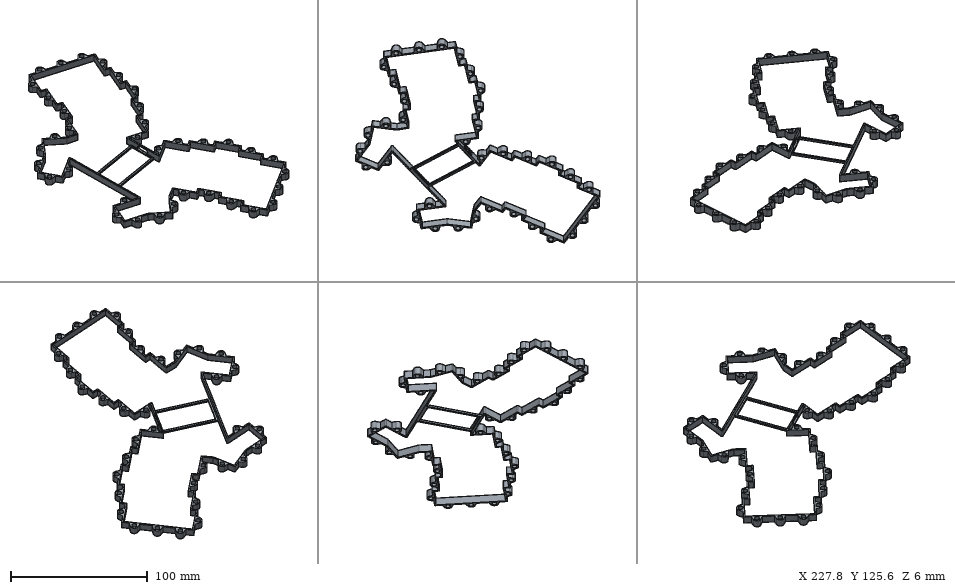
import cadquery as cq
import math


height = 6.0
wall = 1.2

tilt = 25
column_pitch = 18.0
column_stagger = 4.3
stagger_steps = [0, 1, 2, 1, 0]
hand_height = 51.0
keys_per_column = 3
row_pitch = hand_height / keys_per_column
hand_corner = (-90.5, 61.5)

thumb_corner = (-40.8, -60.6)
thumb_width = 17.0
inner_thumb_length = 18.5
outer_thumb_length = 17.0
outer_thumb_tilt = 45

upper_bar_y = 8.5
lower_bar_y = -34.2

boss_diameter = 6.0
boss_hole_diameter = 3.5
boss_standoff = 1.5
boss_offset = wall + boss_standoff
gusset_flare = 25

bridge_width = 21.9
bridge_side_rail = 1.5
bridge_upper_rail = 0.7
bridge_lower_rail = 1.4
bridge_height = 1.5
window_width = 9.5
window_bottom = 1.0
window_height = 4.0


def step(point, angle, distance):
    """Point reached from another by going a distance at an angle in degrees."""
    turn = math.radians(angle)
    return (point[0] + distance * math.cos(turn), point[1] + distance * math.sin(turn))


def step_to_y(point, angle, y):
    """Point where a ray from another point reaches a given Y."""
    return step(point, angle, (y - point[1]) / math.sin(math.radians(angle)))


along = -tilt
back = 180 - tilt
up = 90 - tilt
down = -90 - tilt


def column_corner(column, side):
    """Top corner of a finger column; side is 0 for its left end, 1 for its right end."""
    base = step(hand_corner, along, (column + side) * column_pitch)
    return step(base, up, stagger_steps[column] * column_stagger)


columns = range(len(stagger_steps))
tops = [(column_corner(column, 0), column_corner(column, 1)) for column in columns]
bottoms = [tuple(step(corner, down, hand_height) for corner in pair) for pair in tops[:-1]]
upper_bar_end = step_to_y(tops[-1][1], down, upper_bar_y)

thumb_tip = step(thumb_corner, tilt, thumb_width)
lower_bar_end = step_to_y(thumb_tip, 90 + tilt, lower_bar_y)
thumb_bend = step(thumb_corner, 90 + tilt, inner_thumb_length)
thumb_elbow = step(thumb_bend, 90 + outer_thumb_tilt, outer_thumb_length)
thumb_root = step(thumb_elbow, outer_thumb_tilt, thumb_width)

left_outline = [lower_bar_end, thumb_tip, thumb_corner, thumb_bend, thumb_elbow, thumb_root]
for left, right in reversed(bottoms):
    left_outline += [right, left]
for left, right in tops:
    left_outline += [left, right]
left_outline.append(upper_bar_end)
right_outline = [(-x, y) for x, y in reversed(left_outline)]


def wall_block(side):
    """Block bounded by the outer (side 1) or inner (side -1) wall face, with rounded corners."""
    outline = cq.Workplane("XY").polyline(left_outline + right_outline).close()
    centerline = outline.offset2D(wall / 2, "intersection")
    return centerline.offset2D(side * wall / 2, "arc").extrude(height)


half_column = column_pitch / 2
half_row = row_pitch / 2
half_thumb = thumb_width / 2
boss_places = [(step(left, along, half_column), up) for left, right in tops]
boss_places += [(step(left, along, half_column), down) for left, right in bottoms]
for row in range(keys_per_column):
    boss_places.append((step(hand_corner, down, (row + 0.5) * row_pitch), back))
boss_places += [
    (step(tops[-1][1], down, half_row), along),
    (step(thumb_elbow, outer_thumb_tilt, half_thumb), 90 + outer_thumb_tilt),
    (step(thumb_bend, 90 + outer_thumb_tilt, outer_thumb_length / 2), 180 + outer_thumb_tilt),
    (step(thumb_corner, 90 + tilt, half_column), 180 + tilt),
    (step(thumb_corner, tilt, half_thumb), tilt - 90),
    (step(thumb_tip, 90 + tilt, half_column), tilt),
]


def boss_center(point, outward):
    """Boss axis, standing off from a point on the inner face of the wall."""
    return step(point, outward, boss_offset)


def make_gusset(point, outward):
    """Web that flares tangentially from a boss into the wall."""
    center = boss_center(point, outward)
    radius = boss_diameter / 2
    flare = math.radians(gusset_flare)
    root = wall / 2
    half_root = radius / math.cos(flare) + (boss_offset - root) * math.tan(flare)
    root_point = step(point, outward, root)
    tangent_angle = 90 - gusset_flare
    corners = [
        step(root_point, outward + 90, half_root),
        step(center, outward + tangent_angle, radius),
        step(center, outward - tangent_angle, radius),
        step(root_point, outward - 90, half_root),
    ]
    return cq.Workplane("XY").polyline(corners).close().extrude(height)


def make_left_bosses():
    """Bosses of the left half with their gussets, and the plugs that cut their holes."""
    centers = [boss_center(*place) for place in boss_places]
    bosses = cq.Workplane("XY").pushPoints(centers).circle(boss_diameter / 2).extrude(height)
    gussets = [make_gusset(*place).val() for place in boss_places]
    holes = cq.Workplane("XY").pushPoints(centers).circle(boss_hole_diameter / 2).extrude(height)
    return bosses.union(cq.Workplane(cq.Compound.makeCompound(gussets))), holes


def make_bridge():
    """Low rectangular frame lying between the two middle bars."""
    half_width = bridge_width / 2
    half_gap = half_width - bridge_side_rail
    corner = (-half_width, lower_bar_y)
    gap_corner = (-half_gap, lower_bar_y + bridge_lower_rail)
    length = upper_bar_y - lower_bar_y
    gap_length = length - bridge_lower_rail - bridge_upper_rail
    plate = cq.Workplane("XY").rect(bridge_width, length, centered=False).extrude(bridge_height)
    gap = cq.Workplane("XY").rect(2 * half_gap, gap_length, centered=False).extrude(bridge_height)
    return plate.translate((*corner, 0)).cut(gap.translate((*gap_corner, 0)))


def make_window():
    """Round-ended cable opening through the upper bar and the bridge rail against it."""
    middle_z = window_bottom + window_height / 2
    slot = cq.Workplane("XZ").center(0, middle_z).slot2D(window_width, window_height)
    depth = wall + bridge_upper_rail
    return slot.extrude(-depth).translate((0, upper_bar_y - bridge_upper_rail, 0))


left_bosses, left_holes = make_left_bosses()
outer_body = wall_block(1).union(left_bosses).union(left_bosses.mirror("YZ"))
frame = outer_body.cut(wall_block(-1)).cut(left_holes).cut(left_holes.mirror("YZ"))
result = frame.union(make_bridge()).cut(make_window())